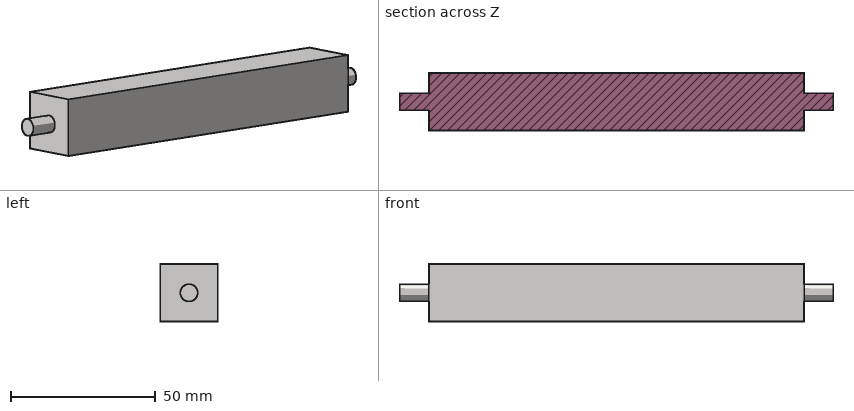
import cadquery as cq

overall_length = 150.0
body_side = 20.0
pin_diameter = 6.0
pin_length = 10.0

body_length = overall_length - 2 * pin_length

body = cq.Workplane("XY").box(body_length, body_side, body_side)

pin = cq.Workplane("YZ").circle(pin_diameter / 2).extrude(overall_length / 2, both=True)

result = body.union(pin)